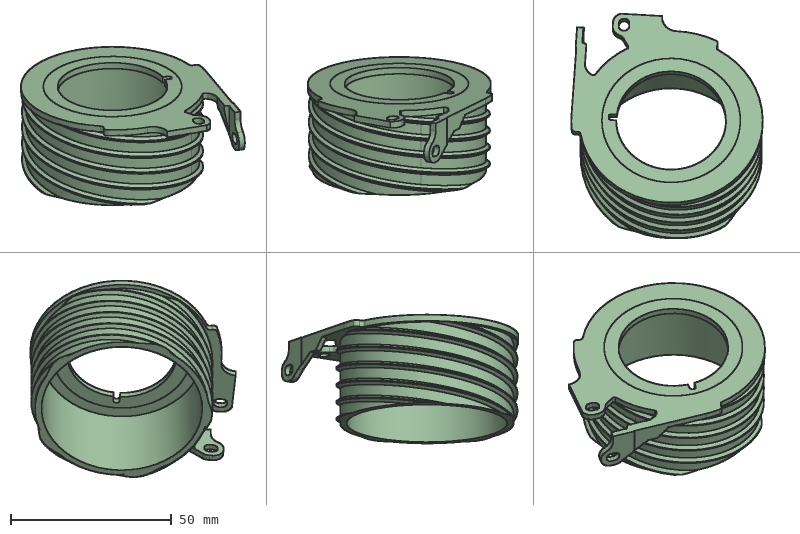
import cadquery as cq
import math


drum_height = 28.0
drum_radius = 27.0
drum_bore_radius = 25.0

thread_starts = 5
thread_lead = 27.15
thread_crest_radius = 28.2
thread_crest_width = 0.4
thread_base_width = 2.0
thread_root_overlap = 0.3
thread_height_at_x_axis = -4.05

flange_thickness = 2.0
flange_radius = 28.5
shoulder_radius = 31.05
upper_shoulder_angle = 56.2
lower_shoulder_angle = -70.3
lower_rim_middle_angle = -57.0
upper_rim_middle_angle = 50.0
shoulder_root_fillet = 1.2
shoulder_tip_fillet = 1.3

washer_radius = 21.5
washer_bore_radius = 17.0
keyway_width = 2.0
keyway_end_radius = 19.5
keyway_angle = 45.0

eye_radius = 3.5
slot_width = 3.2
slot_travel = 1.0

arm_angle = -45.0
arm_inner = 28.0
arm_outer = shoulder_radius
plate_inner = 29.3
plate_outer = 31.3
plate_outer_start = 23.4
notch_start = 24.7
plate_start = 25.4
plate_end = 30.45
arm_eye_depth = 9.0
neck_radius = 4.05

web_start = 12.15
web_depth = 5.55
web_slope_start = 18.75
plate_corner_depth = 9.9
gusset_ramp_start = 15.75
gusset_start = 18.4
gusset_start_depth = 3.4
gusset_top_depth = 1.5

lug_eye_along = 32.25
lug_eye_out = 16.7
lug_end = 36.0
lug_cove_angle = -44.6
lug_cove_middle = (25.4, -20.3)
lug_cove_end_out = 5.0
lug_neck_start = (32.5, -7.6)
lug_neck_middle = (31.7, -7.7)
lug_neck_end = (31.0, -7.65)

pocket_lower_angle = -13.0
pocket_upper_angle = 14.6
pocket_lower_corner = [(28.65, -7.1), (28.05, -6.9)]
pocket_upper_corner = [(28.0, 7.9), (28.8, 8.2)]
pocket_arc_middle = (31.2, 7.9)
pocket_arc_along = 18.75


def polar(radius, angle):
    """Point at a radius and an angle in degrees around the Z axis."""
    return (radius * math.cos(math.radians(angle)), radius * math.sin(math.radians(angle)))


def arm_point(along, out):
    """XY point from a place along the arm and outward from the Z axis."""
    return ((out + along) / math.sqrt(2), (out - along) / math.sqrt(2))


def arc_middle(centre, start, end):
    """Middle of the shorter arc from start to end around a centre."""
    lean_x = start[0] + end[0] - 2 * centre[0]
    lean_y = start[1] + end[1] - 2 * centre[1]
    stretch = math.dist(centre, start) / math.hypot(lean_x, lean_y)
    return (centre[0] + lean_x * stretch, centre[1] + lean_y * stretch)


def shoulder_points(angle, turn):
    """Points of the S-shaped step from the flange radius up to the shoulder radius.

    The step is a radial edge at the given angle with a fillet at its root and
    at its tip. The shoulder lies on the side that turn points to: +1 is
    counter-clockwise, -1 clockwise. The points run from the root to the tip.
    """
    root_reach = flange_radius + shoulder_root_fillet
    tip_reach = shoulder_radius - shoulder_tip_fillet
    root_angle = angle - turn * math.degrees(math.asin(shoulder_root_fillet / root_reach))
    tip_angle = angle + turn * math.degrees(math.asin(shoulder_tip_fillet / tip_reach))
    root_start = polar(flange_radius, root_angle)
    root_end = polar(math.sqrt(root_reach**2 - shoulder_root_fillet**2), angle)
    tip_start = polar(math.sqrt(tip_reach**2 - shoulder_tip_fillet**2), angle)
    tip_end = polar(shoulder_radius, tip_angle)
    root_middle = arc_middle(polar(root_reach, root_angle), root_start, root_end)
    tip_middle = arc_middle(polar(tip_reach, tip_angle), tip_start, tip_end)
    return [root_start, root_middle, root_end, tip_start, tip_middle, tip_end]


def lug_slot():
    """Cutter for the slotted hole in the lug, stretched along the arm direction."""
    return (
        cq.Workplane("XY", origin=(*arm_point(lug_eye_along, lug_eye_out), 0))
        .transformed(rotate=(0, 0, arm_angle))
        .slot2D(slot_width + slot_travel, slot_width)
        .extrude(-flange_thickness)
    )


def flange_outline():
    """Outer outline of the flange, counter-clockwise from the lower shoulder."""
    lower = shoulder_points(lower_shoulder_angle, 1)
    upper = shoulder_points(upper_shoulder_angle, -1)
    eye_far = lug_eye_along + slot_travel / 2
    eye_near = lug_eye_along - slot_travel / 2
    eye_corner_out = lug_eye_out + math.sqrt(eye_radius**2 - (lug_end - eye_far) ** 2)
    eye_corner = arm_point(lug_end, eye_corner_out)
    eye_top_far = arm_point(eye_far, lug_eye_out + eye_radius)
    eye_top_near = arm_point(eye_near, lug_eye_out + eye_radius)
    eye_arc_far = arc_middle(arm_point(eye_far, lug_eye_out), eye_corner, eye_top_far)
    eye_arc_near = arc_middle(arm_point(eye_near, lug_eye_out), eye_top_near, lug_neck_start)
    return (
        cq.Workplane("XY")
        .moveTo(*lower[0])
        .threePointArc(lower[1], lower[2])
        .lineTo(*lower[3])
        .threePointArc(lower[4], lower[5])
        .threePointArc(polar(shoulder_radius, lower_rim_middle_angle), polar(shoulder_radius, lug_cove_angle))
        .threePointArc(lug_cove_middle, arm_point(lug_end, lug_cove_end_out))
        .lineTo(*eye_corner)
        .threePointArc(eye_arc_far, eye_top_far)
        .lineTo(*eye_top_near)
        .threePointArc(eye_arc_near, lug_neck_start)
        .threePointArc(lug_neck_middle, lug_neck_end)
        .lineTo(*pocket_lower_corner[0])
        .threePointArc(pocket_lower_corner[1], polar(flange_radius, pocket_lower_angle))
        .threePointArc((flange_radius, 0), polar(flange_radius, pocket_upper_angle))
        .threePointArc(*pocket_upper_corner)
        .threePointArc(pocket_arc_middle, arm_point(pocket_arc_along, arm_inner))
        .lineTo(*arm_point(notch_start, arm_inner))
        .lineTo(*arm_point(plate_start, plate_inner))
        .lineTo(*arm_point(plate_end, plate_inner))
        .lineTo(*arm_point(plate_end, plate_outer))
        .lineTo(*arm_point(plate_outer_start, plate_outer))
        .lineTo(*arm_point(plate_outer_start, arm_outer))
        .lineTo(*arm_point(0, arm_outer))
        .threePointArc(polar(shoulder_radius, upper_rim_middle_angle), upper[5])
        .threePointArc(upper[4], upper[3])
        .lineTo(*upper[2])
        .threePointArc(upper[1], upper[0])
        .threePointArc((-flange_radius, 0), lower[0])
        .close()
    )


def make_flange():
    """Flange plate with the washer seat and the slotted hole in its lug."""
    plate = flange_outline().extrude(-flange_thickness)
    seat = cq.Workplane("XY").circle(washer_radius).extrude(-flange_thickness)
    return plate.cut(seat).cut(lug_slot())


def arm_side_plane(out):
    """Upright sketch plane along the arm: local x runs along it, local y is up."""
    along = (*arm_point(1, 0), 0)
    inward = (*arm_point(0, -1), 0)
    return cq.Workplane(cq.Plane(origin=(*arm_point(0, out), 0), xDir=along, normal=inward))


def plate_outline(plane):
    """Side outline of the upright plate: web, sloped lower edge, eye and neck."""
    eye_far = (plate_end + slot_travel / 2, -arm_eye_depth)
    eye_near = (plate_end - slot_travel / 2, -arm_eye_depth)
    eye_bottom = -arm_eye_depth - eye_radius

    corner = (plate_start, -plate_corner_depth)
    to_corner = math.atan2(corner[1] - eye_near[1], corner[0] - eye_near[0])
    tangent_angle = to_corner + math.acos(eye_radius / math.dist(corner, eye_near))
    slope_end = (
        eye_near[0] + eye_radius * math.cos(tangent_angle),
        eye_near[1] + eye_radius * math.sin(tangent_angle),
    )
    near_bottom = (eye_near[0], eye_bottom)

    reach = neck_radius + eye_radius
    neck_x = plate_end + neck_radius
    neck_centre = (neck_x, -arm_eye_depth + math.sqrt(reach**2 - (neck_x - eye_far[0]) ** 2))
    neck_top = (plate_end, neck_centre[1])
    neck_bottom = (
        eye_far[0] + (neck_centre[0] - eye_far[0]) * eye_radius / reach,
        eye_far[1] + (neck_centre[1] - eye_far[1]) * eye_radius / reach,
    )
    return (
        plane.moveTo(web_start, 0)
        .lineTo(web_start, -flange_thickness)
        .lineTo(web_start + web_depth - flange_thickness, -web_depth)
        .lineTo(web_slope_start, -web_depth)
        .lineTo(*corner)
        .lineTo(*slope_end)
        .threePointArc(arc_middle(eye_near, slope_end, near_bottom), near_bottom)
        .lineTo(eye_far[0], eye_bottom)
        .threePointArc((eye_far[0] + eye_radius, eye_far[1]), neck_bottom)
        .threePointArc(arc_middle(neck_centre, neck_bottom, neck_top), neck_top)
        .lineTo(plate_end, 0)
        .close()
    )


def make_plate():
    """Upright plate below the arm; its outer side steps back along the web."""
    plate = plate_outline(arm_side_plane(plate_outer)).extrude(plate_outer - plate_inner)
    step = (
        arm_side_plane(plate_outer)
        .moveTo(web_start, 0)
        .lineTo(plate_outer_start, 0)
        .lineTo(plate_outer_start, -drum_height)
        .lineTo(web_start, -drum_height)
        .close()
        .extrude(plate_outer - arm_outer)
    )
    slot = (
        arm_side_plane(plate_outer)
        .center(plate_end, -arm_eye_depth)
        .slot2D(slot_width + slot_travel, slot_width)
        .extrude(plate_outer - plate_inner)
    )
    return plate.cut(step).cut(slot)


def arm_end_plane():
    """Sketch plane across the arm at its root: local x points outward, local y is up."""
    outward = (*arm_point(0, 1), 0)
    along = (*arm_point(1, 0), 0)
    return cq.Workplane(cq.Plane(origin=(0, 0, 0), xDir=outward, normal=along))


def arm_edge_relief():
    """Cutter for the arm's inner lower edge, where the gusset's taper begins."""
    relief_depth = flange_thickness - gusset_top_depth
    taper_slope = (plate_inner - arm_inner) / (plate_corner_depth - gusset_top_depth)
    return (
        arm_end_plane()
        .workplane(offset=pocket_arc_along)
        .moveTo(arm_inner, -gusset_top_depth)
        .lineTo(arm_inner + relief_depth * taper_slope, -flange_thickness)
        .lineTo(arm_inner, -flange_thickness)
        .close()
        .extrude(notch_start - pocket_arc_along)
    )


def make_gusset():
    """Gusset that tapers from the arm's inner edge down to the plate's corner."""
    side = (
        arm_side_plane(plate_inner)
        .moveTo(gusset_ramp_start, 0)
        .lineTo(gusset_ramp_start, -gusset_start_depth)
        .lineTo(gusset_start, -gusset_start_depth)
        .lineTo(plate_start, -plate_corner_depth)
        .lineTo(plate_start, 0)
        .close()
        .extrude(plate_inner - arm_inner)
    )
    taper = (
        arm_end_plane()
        .moveTo(arm_inner, 0)
        .lineTo(arm_inner, -gusset_top_depth)
        .lineTo(plate_inner, -plate_corner_depth)
        .lineTo(plate_inner, 0)
        .close()
        .extrude(plate_start)
    )
    plan = (
        cq.Workplane("XY")
        .moveTo(*arm_point(gusset_ramp_start, plate_inner))
        .lineTo(*arm_point(gusset_start, arm_inner))
        .lineTo(*arm_point(notch_start, arm_inner))
        .lineTo(*arm_point(plate_start, plate_inner))
        .close()
        .extrude(-drum_height)
    )
    return side.intersect(taper).intersect(plan)


def make_thread():
    """Five helical ridges, trimmed between the flange and the drum's lower end."""
    crest_half = thread_crest_width / 2
    base_half = thread_base_width / 2
    flank_slope = (base_half - crest_half) / (thread_crest_radius - drum_radius)
    root_half = base_half + flank_slope * thread_root_overlap
    root_radius = drum_radius - thread_root_overlap
    length = drum_height + thread_lead / thread_starts
    bottom = thread_height_at_x_axis - thread_lead
    path = cq.Wire.makeHelix(
        thread_lead, length, drum_radius, center=cq.Vector(0, 0, bottom), lefthand=True
    )
    ridge = (
        cq.Workplane("XZ", origin=(0, 0, bottom))
        .moveTo(root_radius, -root_half)
        .lineTo(thread_crest_radius, -crest_half)
        .lineTo(thread_crest_radius, crest_half)
        .lineTo(root_radius, root_half)
        .close()
        .sweep(cq.Workplane(path), isFrenet=True)
    )
    zone = (
        cq.Workplane("XY", origin=(0, 0, -drum_height))
        .circle(shoulder_radius)
        .circle(drum_bore_radius)
        .extrude(drum_height - flange_thickness)
    )
    ridges = []
    for start in range(thread_starts):
        turned = ridge.rotate((0, 0, 0), (0, 0, 1), start * 360 / thread_starts)
        ridges.append(turned.intersect(zone))
    return ridges


def make_housing():
    """Flange, arm and threaded drum as one body."""
    drum = (
        cq.Workplane("XY", origin=(0, 0, -drum_height))
        .circle(drum_radius)
        .circle(drum_bore_radius)
        .extrude(drum_height - flange_thickness)
    )
    flange = make_flange().cut(arm_edge_relief())
    housing = flange.union(make_plate()).union(make_gusset()).union(drum)
    for ridge in make_thread():
        housing = housing.union(ridge)
    return housing


def make_washer():
    """Washer seated in the flange, with a round-ended keyway in its bore."""
    washer = cq.Workplane("XY").circle(washer_radius).circle(washer_bore_radius).extrude(-flange_thickness)
    keyway = (
        cq.Workplane("XY")
        .transformed(rotate=(0, 0, keyway_angle))
        .center(keyway_end_radius / 2, 0)
        .slot2D(keyway_end_radius, keyway_width)
        .extrude(-flange_thickness)
    )
    return washer.cut(keyway)


housing = make_housing()
washer = make_washer()
result = cq.Compound.makeCompound([housing.val(), washer.val()])